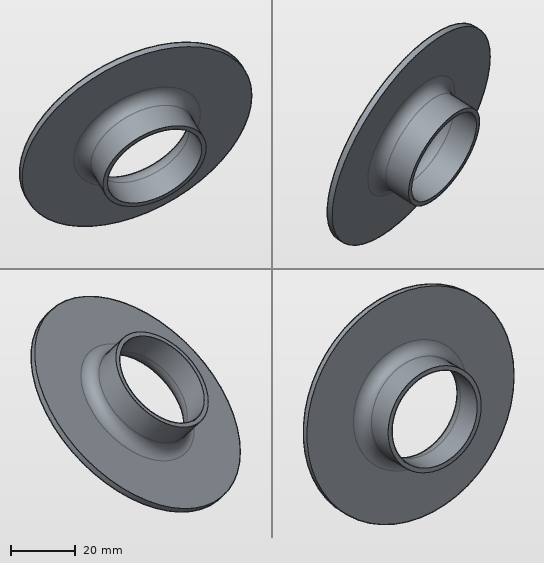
import cadquery as cq

flange_diameter = 78.0
flange_thickness = 2.0
tube_outer_diameter = 35.0
tube_bore_diameter = 32.0
total_length = 15.0
mouth_radius = 6.0

flange_radius = flange_diameter / 2
tube_radius = tube_outer_diameter / 2
bore_radius = tube_bore_diameter / 2
neck_radius = mouth_radius - flange_thickness


def revolve_about_x(profile):
    """Turn a profile, drawn as (axial, radial) points, into a solid about the X axis."""
    return profile.close().revolve(360, (0, 0, 0), (1, 0, 0))


body = revolve_about_x(
    cq.Workplane("XY")
    .lineTo(0, flange_radius)
    .lineTo(flange_thickness, flange_radius)
    .lineTo(flange_thickness, tube_radius + neck_radius)
    .radiusArc((mouth_radius, tube_radius), -neck_radius)
    .lineTo(total_length, tube_radius)
    .lineTo(total_length, 0)
)

bore = revolve_about_x(
    cq.Workplane("XY")
    .lineTo(0, bore_radius + mouth_radius)
    .radiusArc((mouth_radius, bore_radius), -mouth_radius)
    .lineTo(total_length, bore_radius)
    .lineTo(total_length, 0)
)

result = body.cut(bore)